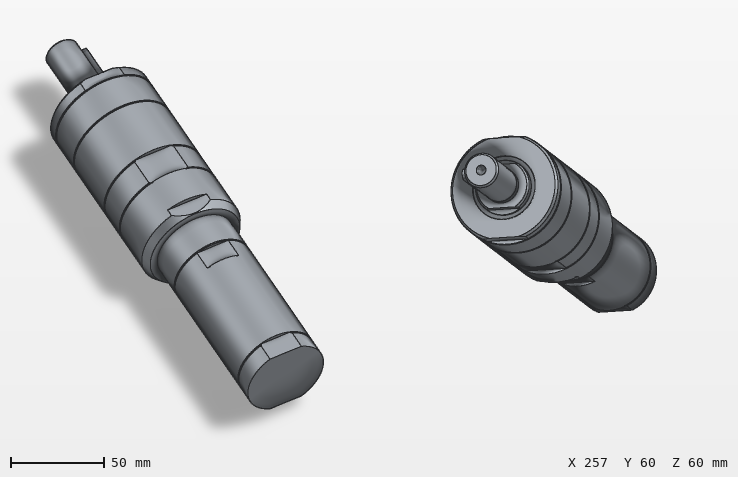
import cadquery as cq
import math

SEAT_START = 35.7
COLLAR_START = 39.5
BODY_START = 43.5
FRONT_FLAT_END = 50.5
MIDDLE_FLAT_START = 105.5
MIDDLE_FLAT_END = 124.0
BACK_FLAT_START = 144.5
BACK_CHAMFER_START = 148.8
BODY_END = 153.5
TAIL_FLAT_START = 173.5
TAIL_FLAT_END = 185.3
END_FLAT_START = 245.5
TOTAL_LENGTH = 257.0

SHAFT_DIAMETER = 19.0
SEAT_DIAMETER = 18.8
SHAFT_CHAMFER = 1.0

CENTRE_MOUTH_DIAMETER = 5.5
CENTRE_CONE_DIAMETER = 4.0
CENTRE_MOUTH_DEPTH = 1.0
CENTRE_CONE_DEPTH = 2.0

KEY_START = 5.1
KEY_LENGTH = 31.4
KEY_WIDTH = 6.0
KEY_TOP = 12.0
KEY_BOTTOM = KEY_TOP - KEY_WIDTH

COLLAR_DIAMETER = 30.0
COLLAR_ACROSS_FLATS = 24.0
COLLAR_CHAMFER = 1.0
RECESS_DIAMETER = 35.0
RECESS_DEPTH = 1.3

BODY_DIAMETER = 60.0
BODY_ACROSS_FLATS = 55.0
BODY_CHAMFER = 1.3
BACK_CHAMFER_ANGLE = 30

TAIL_DIAMETER = 46.0
TAIL_ACROSS_FLATS = 42.0

GROOVE_WIDTH = 0.8
GROOVE_DEPTH = 0.3
BODY_SEAM = 70.7


def cylinder(diameter, start, end):
    """Solid cylinder along the X axis between two stations."""
    return cq.Workplane("YZ", origin=(start, 0, 0)).circle(diameter / 2).extrude(end - start)


def box(start, end, width_y, bottom, top):
    """Box between two stations and two heights, centred on Y = 0."""
    size = (end - start, width_y, top - bottom)
    return cq.Workplane("XY").box(*size, centered=(False, True, False)).translate((start, 0, bottom))


def cut_flats(solid, diameter, across_flats, start, end):
    """Cut a pair of wrench flats, facing +Z and -Z, between two stations."""
    upper = box(start, end, diameter, across_flats / 2, diameter)
    return solid.cut(upper).cut(upper.mirror("XY"))


def cut_groove(solid, diameter, start):
    """Cut a narrow joint groove around a cylinder of the given diameter."""
    end = start + GROOVE_WIDTH
    core = cylinder(diameter - 2 * GROOVE_DEPTH, start, end)
    ring = cylinder(2 * diameter, start, end).cut(core)
    return solid.cut(ring)


def make_back_chamfer():
    """Ring of material removed by the long chamfer at the back of the body."""
    chamfer_length = BODY_END - BACK_CHAMFER_START
    chamfer_drop = chamfer_length * math.tan(math.radians(BACK_CHAMFER_ANGLE))
    radius = BODY_DIAMETER / 2
    return (
        cq.Workplane("XY")
        .moveTo(BACK_CHAMFER_START, radius)
        .lineTo(BODY_END, radius)
        .lineTo(BODY_END, radius - chamfer_drop)
        .close()
        .revolve(360, (0, 0, 0), (1, 0, 0))
    )


def make_body():
    body = cylinder(BODY_DIAMETER, BODY_START, BODY_END)
    body = body.faces("<X").chamfer(BODY_CHAMFER)
    body = body.cut(make_back_chamfer())
    body = body.cut(cylinder(RECESS_DIAMETER, BODY_START, BODY_START + RECESS_DEPTH))
    for start, end in (
        (BODY_START, FRONT_FLAT_END),
        (MIDDLE_FLAT_START, MIDDLE_FLAT_END),
        (BACK_FLAT_START, BODY_END),
    ):
        body = cut_flats(body, BODY_DIAMETER, BODY_ACROSS_FLATS, start, end)
    for start in (
        FRONT_FLAT_END,
        BODY_SEAM,
        MIDDLE_FLAT_START,
        MIDDLE_FLAT_END - GROOVE_WIDTH,
    ):
        body = cut_groove(body, BODY_DIAMETER, start)
    return body


def make_tail():
    tail = cylinder(TAIL_DIAMETER, BODY_END, TOTAL_LENGTH)
    for start, end in ((TAIL_FLAT_START, TAIL_FLAT_END), (END_FLAT_START, TOTAL_LENGTH)):
        tail = cut_flats(tail, TAIL_DIAMETER, TAIL_ACROSS_FLATS, start, end)
    for start in (TAIL_FLAT_START - GROOVE_WIDTH, END_FLAT_START):
        tail = cut_groove(tail, TAIL_DIAMETER, start)
    return tail


def make_collar():
    collar = cylinder(COLLAR_DIAMETER, COLLAR_START, BODY_START + RECESS_DEPTH)
    collar = collar.faces("<X").chamfer(COLLAR_CHAMFER)
    return cut_flats(collar, COLLAR_DIAMETER, COLLAR_ACROSS_FLATS, COLLAR_START, BODY_START)


def make_key():
    middle = KEY_START + KEY_LENGTH / 2
    return (
        cq.Workplane("XZ", origin=(middle, KEY_BOTTOM, 0))
        .slot2D(KEY_LENGTH, KEY_WIDTH)
        .extrude(-KEY_WIDTH)
    )


def make_centre_hole():
    return (
        cq.Workplane("XY")
        .lineTo(0, CENTRE_MOUTH_DIAMETER / 2)
        .lineTo(CENTRE_MOUTH_DEPTH, CENTRE_CONE_DIAMETER / 2)
        .lineTo(CENTRE_MOUTH_DEPTH + CENTRE_CONE_DEPTH, 0)
        .close()
        .revolve(360, (0, 0, 0), (1, 0, 0))
    )


def make_shaft():
    shaft = cylinder(SHAFT_DIAMETER, 0, SEAT_START).faces("<X").chamfer(SHAFT_CHAMFER)
    seat = cylinder(SEAT_DIAMETER, SEAT_START, COLLAR_START)
    return shaft.union(seat).union(make_key()).cut(make_centre_hole())


result = make_body().union(make_tail()).union(make_collar()).union(make_shaft())